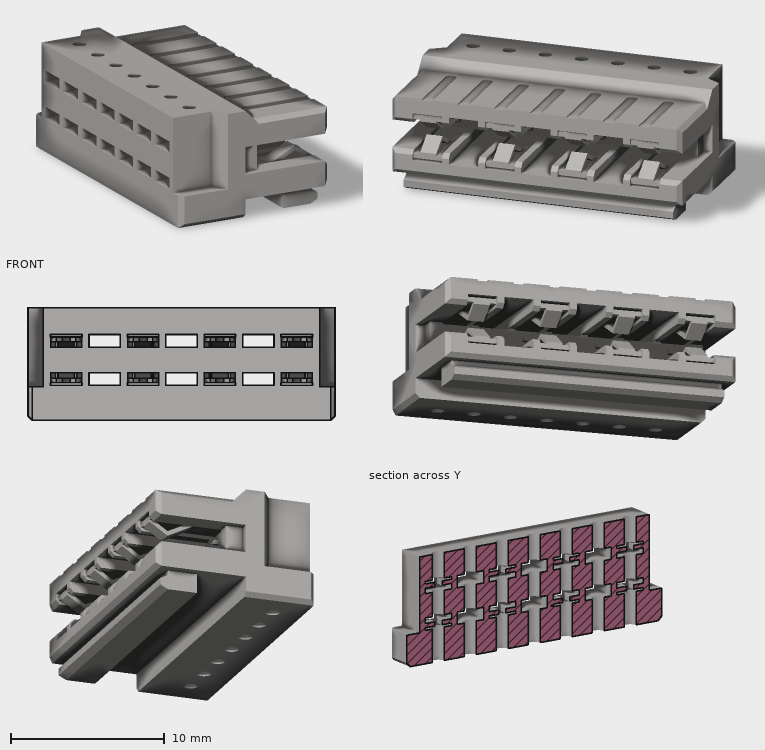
import cadquery as cq

LENGTH = 20.0
DEPTH = 11.0
HEIGHT = 7.35
EDGE_CHAMFER = 0.3

BLOCK_DEPTH = 4.82
STEP_HEIGHT = 1.3
ARM_TOP = 6.62
SLOT_MIDDLE = 3.95
SLOT_HALF_HEIGHT = 0.95
SLOT_TOP = SLOT_MIDDLE + SLOT_HALF_HEIGHT
SLOT_BOTTOM = SLOT_MIDDLE - SLOT_HALF_HEIGHT

WALL_LENGTH = 18.8
WALL_BACK = 5.98

RELIEF_WIDTH = 1.0
RELIEF_DEPTH_INNER = 2.88
RELIEF_DEPTH_OUTER = 3.52
RELIEF_FLOOR = 2.2

RAIL_LENGTH = 18.6
RAIL_FRONT = 7.98
RAIL_BACK = 9.98
RAIL_NOSE = 10.52
RAIL_NOSE_TOP = 0.72
RAIL_NECK_BASE = 1.0
RAIL_NOSE_BOTTOM = 0.25

POSITIONS = 7
PITCH = 2.5
COLUMNS = [(i - (POSITIONS - 1) / 2) * PITCH for i in range(POSITIONS)]
CONTACT_COLUMNS = COLUMNS[::2]

GROOVE_WIDTH = 0.75
GROOVE_FRONT = 5.95
GROOVE_DEPTH = 0.1
HOLE_DIAMETER = 0.9
HOLE_Y = 2.02

CHANNEL_WIDTH = 2.02
CHANNEL_NEAR = 0.85
CHANNEL_FAR = 1.65

PLATE_NEAR = 1.18
PLATE_FAR = 1.5
TINE_TIP = 0.8
TINE_SHOULDER = 1.5
PLATE_BACK = 10.8
FORK_GAP = 0.52
FORK_BOTTOM = 3.2
FLANGE_WIDTH = 0.35
FLANGE_FRONT = 3.2
FLANGE_BACK = 4.4
SPRING_WIDTH = 1.1
SPRING_APEX_Y = 9.55
SPRING_APEX = 0.25
SPRING_THICKNESS = 0.32
FRONT_LEG_SLOPE = 0.5
BACK_LEG_SLOPE = 0.65

TAIL_BACK = 6.38
TAIL_NEAR = 0.1
TAIL_FAR = 0.4
TAIL_CHAMFER = 0.1
TAIL_CORE_WIDTH = 0.6


def box(x_range, y_range, z_range):
    """Box between two limits along each axis."""
    (x0, x1), (y0, y1), (z0, z1) = x_range, y_range, z_range
    return cq.Workplane("XY").box(x1 - x0, y1 - y0, z1 - z0, centered=False).translate((x0, y0, z0))


def centred(width, x=0):
    """X limits of a feature of the given width centred on x."""
    return (x - width / 2, x + width / 2)


def side_extrusion(points, width, x=0):
    """Extrude a (Y, Z) outline along X, centred on x."""
    outline = cq.Workplane("YZ").polyline(points).close()
    return outline.extrude(width / 2, both=True).translate((x, 0, 0))


def mirrored_pair(upper):
    """Join an upper feature with its copy mirrored about the slot middle."""
    return upper.union(upper.mirror("XY", (0, 0, SLOT_MIDDLE)))


def make_block():
    """Front block with chamfered lower side edges and front corners."""
    slope_start = (BLOCK_DEPTH, HEIGHT)
    slope_end = (BLOCK_DEPTH + HEIGHT - SLOT_TOP, SLOT_TOP)
    points = [(0, 0), (BLOCK_DEPTH, 0), (BLOCK_DEPTH, SLOT_TOP), slope_end, slope_start, (0, HEIGHT)]
    block = side_extrusion(points, LENGTH)
    block = block.faces("<Y").edges("|Z").chamfer(EDGE_CHAMFER)
    return block.faces("<Z").edges("<X or >X").chamfer(EDGE_CHAMFER)


def make_arm(bottom, top, end_edges):
    """Arm from the block to the back face, with chamfers on the given back edges."""
    arm = box(centred(LENGTH), (0, DEPTH), (bottom, top))
    arm = arm.faces(">Y").edges(end_edges).chamfer(EDGE_CHAMFER)
    return arm.intersect(box(centred(LENGTH), (BLOCK_DEPTH / 2, DEPTH), (0, HEIGHT)))


def make_upper_arm():
    """Upper arm, also chamfered along its two top side edges."""
    arm = make_arm(SLOT_TOP, ARM_TOP, "|Z or <Z")
    return arm.faces(">Z").edges("<X or >X").chamfer(EDGE_CHAMFER)


def make_rail():
    """Latch rail with a nose pointing back."""
    points = [
        (RAIL_FRONT, STEP_HEIGHT),
        (RAIL_FRONT, 0),
        (RAIL_BACK, 0),
        (RAIL_NOSE, RAIL_NOSE_BOTTOM),
        (RAIL_NOSE, RAIL_NOSE_TOP),
        (RAIL_BACK, RAIL_NECK_BASE),
        (RAIL_BACK, STEP_HEIGHT),
    ]
    return side_extrusion(points, RAIL_LENGTH)


def make_corner_relief():
    """Cutter for the relief at the -X front corner."""
    side = -LENGTH / 2
    inner = side + RELIEF_WIDTH
    points = [(side, 0), (inner, 0), (inner, RELIEF_DEPTH_INNER), (side, RELIEF_DEPTH_OUTER)]
    return cq.Workplane("XY", origin=(0, 0, RELIEF_FLOOR)).polyline(points).close().extrude(HEIGHT)


def make_groove(x):
    """Cutter for a round-ended groove, open at the back of the upper arm."""
    radius = GROOVE_WIDTH / 2
    centre_y = GROOVE_FRONT + radius
    floor = ARM_TOP - GROOVE_DEPTH
    straight = box(centred(GROOVE_WIDTH, x), (centre_y, DEPTH), (floor, ARM_TOP))
    end = cq.Workplane("XY", origin=(x, centre_y, floor)).circle(radius).extrude(GROOVE_DEPTH)
    return straight.union(end)


def make_channels(x):
    """Cutter for the upper and lower contact channels of one column."""
    heights = (SLOT_MIDDLE + CHANNEL_NEAR, SLOT_MIDDLE + CHANNEL_FAR)
    return mirrored_pair(box(centred(CHANNEL_WIDTH, x), (0, DEPTH), heights))


def make_spring(x):
    """V-shaped spring that hangs from the plate into the slot."""
    root = SLOT_MIDDLE + PLATE_NEAR
    tip = SLOT_MIDDLE + SPRING_APEX
    inner_tip = tip + SPRING_THICKNESS
    points = [
        (SPRING_APEX_Y - (root - tip) / FRONT_LEG_SLOPE, root),
        (SPRING_APEX_Y, tip),
        (PLATE_BACK, tip + (PLATE_BACK - SPRING_APEX_Y) * BACK_LEG_SLOPE),
        (PLATE_BACK, root),
        (SPRING_APEX_Y + (root - inner_tip) / BACK_LEG_SLOPE, root),
        (SPRING_APEX_Y, inner_tip),
        (SPRING_APEX_Y - (root - inner_tip) / FRONT_LEG_SLOPE, root),
    ]
    return side_extrusion(points, SPRING_WIDTH, x)


def make_tail(x):
    """Contact tail with a chamfered outer corner."""
    near = SLOT_MIDDLE + TAIL_NEAR
    far = SLOT_MIDDLE + TAIL_FAR
    points = [
        (BLOCK_DEPTH, near),
        (TAIL_BACK, near),
        (TAIL_BACK, far - TAIL_CHAMFER),
        (TAIL_BACK - TAIL_CHAMFER, far),
        (BLOCK_DEPTH, far),
    ]
    return side_extrusion(points, SPRING_WIDTH, x)


def make_plate(x):
    """Upper contact plate with two pointed tines and a round-bottomed gap between them."""
    half_width = CHANNEL_WIDTH / 2
    half_gap = FORK_GAP / 2
    tine_middle = (half_width + half_gap) / 2
    gap_straight_end = FORK_BOTTOM - half_gap
    outline = (
        cq.Workplane("XY", origin=(x, 0, SLOT_MIDDLE + PLATE_NEAR))
        .moveTo(-half_width, PLATE_BACK)
        .lineTo(-half_width, TINE_SHOULDER)
        .lineTo(-tine_middle, TINE_TIP)
        .lineTo(-half_gap, TINE_SHOULDER)
        .lineTo(-half_gap, gap_straight_end)
        .threePointArc((0, FORK_BOTTOM), (half_gap, gap_straight_end))
        .lineTo(half_gap, TINE_SHOULDER)
        .lineTo(tine_middle, TINE_TIP)
        .lineTo(half_width, TINE_SHOULDER)
        .lineTo(half_width, PLATE_BACK)
        .close()
    )
    return outline.extrude(PLATE_FAR - PLATE_NEAR)


def make_contacts(x):
    """Upper and lower contacts of one column, with the core that joins their tails."""
    flange_heights = (SLOT_MIDDLE + CHANNEL_NEAR, SLOT_MIDDLE + PLATE_NEAR)
    upper = make_plate(x).union(make_spring(x)).union(make_tail(x))
    for side in (-1, 1):
        flange_x = x + side * (CHANNEL_WIDTH - FLANGE_WIDTH) / 2
        flange = box(centred(FLANGE_WIDTH, flange_x), (FLANGE_FRONT, FLANGE_BACK), flange_heights)
        upper = upper.union(flange)
    core_heights = (SLOT_MIDDLE - TAIL_NEAR, SLOT_MIDDLE + TAIL_NEAR)
    core = box(centred(TAIL_CORE_WIDTH, x), (BLOCK_DEPTH, TAIL_BACK), core_heights)
    return mirrored_pair(upper).union(core)


housing = make_block().union(make_upper_arm())
housing = housing.union(make_arm(STEP_HEIGHT, SLOT_BOTTOM, "|Z or <Z or >Z"))
housing = housing.union(box(centred(WALL_LENGTH), (BLOCK_DEPTH, WALL_BACK), (SLOT_BOTTOM, SLOT_TOP)))
housing = housing.union(make_rail())
corner_relief = make_corner_relief()
housing = housing.cut(corner_relief).cut(corner_relief.mirror("YZ"))

for column in COLUMNS:
    hole = cq.Workplane("XY").center(column, HOLE_Y).circle(HOLE_DIAMETER / 2).extrude(HEIGHT)
    housing = housing.cut(hole).cut(make_channels(column)).cut(make_groove(column))

result = housing
for column in CONTACT_COLUMNS:
    result = result.union(make_contacts(column))